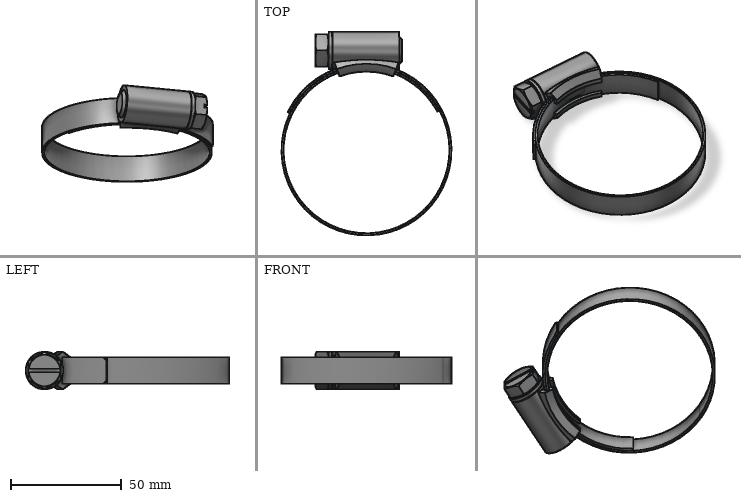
import cadquery as cq
import math

band_width = 12.0
band_thickness = 1.05
loop_outer_radius = 38.38
layer_gap = 0.05
layer_pitch = band_thickness + layer_gap
outer_tail_angle = 154.0
inner_tail_angle = 28.0
tail_corner = 1.3

screw_axis_y = 45.1
barrel_radius = 8.5
barrel_start_x = -15.2
barrel_end_x = 14.7
saddle_half_angle = 20.0
lip_inner_radius = 35.5
lip_half_opening = 3.5
saddle_peak_radius = 39.1
saddle_peak_half_width = barrel_radius
saddle_outer_radius = 42.2
saddle_outer_half_width = 6.6

flange_thickness = 1.65
flange_clearance = 0.25
head_length = 6.0
head_corner_radius = barrel_radius
head_face_radius = 7.1
head_chamfer_length = 0.6
slot_width = 1.45
slot_depth = 1.5
shank_radius = 6.3
tip_length = 1.4
tip_radius = shank_radius - tip_length

flange_end_x = barrel_start_x - flange_clearance
flange_start_x = flange_end_x - flange_thickness
head_start_x = flange_start_x - head_length

single_start_angle = outer_tail_angle
single_end_angle = single_start_angle + 180
layered_start_angle = single_end_angle - 360
single_inner_radius = loop_outer_radius - band_thickness
inner_layer_radius = single_inner_radius - layer_pitch / 2
outer_layer_radius = single_inner_radius + layer_pitch / 2


def polar(radius, angle, centre=(0.0, 0.0)):
    a = math.radians(angle)
    return (centre[0] + radius * math.cos(a), centre[1] + radius * math.sin(a))


single_centre = (0.0, 0.0)
layered_centre = polar(layer_pitch / 2, single_start_angle)


def arc_strip(inner_radius, start_angle, end_angle, centre):
    """Curved strip of band between two angles, counter-clockwise."""
    outer_radius = inner_radius + band_thickness
    middle_angle = (start_angle + end_angle) / 2
    return (
        cq.Workplane("XY")
        .workplane(offset=-band_width / 2)
        .moveTo(*polar(inner_radius, start_angle, centre))
        .threePointArc(
            polar(inner_radius, middle_angle, centre),
            polar(inner_radius, end_angle, centre),
        )
        .lineTo(*polar(outer_radius, end_angle, centre))
        .threePointArc(
            polar(outer_radius, middle_angle, centre),
            polar(outer_radius, start_angle, centre),
        )
        .close()
        .extrude(band_width)
    )


def corner_cutter():
    """Two prisms that cut the corners off the end of the outside layer."""
    end_point = polar(outer_layer_radius, outer_tail_angle, layered_centre)
    radial = polar(1.0, outer_tail_angle)
    backward = polar(1.0, outer_tail_angle - 90)
    end_plane = cq.Plane(
        origin=(end_point[0], end_point[1], 0),
        xDir=(backward[0], backward[1], 0),
        normal=(radial[0], radial[1], 0),
    )
    edge = band_width / 2
    cutter = cq.Workplane(end_plane)
    for side in (-1, 1):
        cutter = cutter.polyline(
            [
                (-tail_corner, side * (edge - 2 * tail_corner)),
                (tail_corner, side * edge),
                (-tail_corner, side * (edge + 2 * tail_corner)),
            ]
        ).close()
    return cutter.extrude(band_thickness * 2)


def make_band():
    single_half = arc_strip(
        single_inner_radius, single_start_angle, single_end_angle, single_centre
    )
    outer_layer = arc_strip(
        outer_layer_radius, layered_start_angle, outer_tail_angle, layered_centre
    )
    outer_layer = outer_layer.cut(corner_cutter())
    inner_layer = arc_strip(
        inner_layer_radius, inner_tail_angle, single_start_angle, layered_centre
    )
    return single_half.union(outer_layer).union(inner_layer)


def axial_cylinder(radius, start_x, end_x):
    return (
        cq.Workplane("YZ", origin=(start_x, screw_axis_y, 0))
        .circle(radius)
        .extrude(end_x - start_x)
    )


def make_saddle():
    """Section in the radius-height plane, swept around the loop axis."""
    floor_radius = inner_layer_radius + band_thickness / 2
    upper_half = [
        (floor_radius, lip_half_opening),
        (lip_inner_radius, lip_half_opening),
        (lip_inner_radius, band_width / 2),
        (saddle_peak_radius, saddle_peak_half_width),
        (saddle_outer_radius, saddle_outer_half_width),
    ]
    lower_half = [(r, -z) for r, z in reversed(upper_half)]
    return (
        cq.Workplane("XZ")
        .polyline(upper_half + lower_half)
        .close()
        .revolve(2 * saddle_half_angle, (0, 0, 0), (0, -1, 0))
        .rotate((0, 0, 0), (0, 0, 1), 90 + saddle_half_angle)
    )


def make_clamp():
    barrel = axial_cylinder(barrel_radius, barrel_start_x, barrel_end_x)
    bore = axial_cylinder(shank_radius, barrel_start_x, barrel_end_x)
    return make_band().union(make_saddle()).union(barrel).cut(bore)


def make_head():
    hexagon = (
        cq.Workplane("YZ", origin=(head_start_x, screw_axis_y, 0))
        .polyline([polar(head_corner_radius, 30 + 60 * i) for i in range(6)])
        .close()
        .extrude(head_length)
    )
    chamfer_profile = [
        (head_start_x, 0),
        (head_start_x, head_face_radius),
        (head_start_x + head_chamfer_length, head_corner_radius),
        (flange_start_x - head_chamfer_length, head_corner_radius),
        (flange_start_x, head_face_radius),
        (flange_start_x, 0),
    ]
    chamfered_round = (
        cq.Workplane("XY", origin=(0, screw_axis_y, 0))
        .polyline(chamfer_profile)
        .close()
        .revolve(360, (0, 0, 0), (1, 0, 0))
    )
    slot = cq.Workplane("XY").box(2 * slot_depth, 2 * head_corner_radius, slot_width)
    slot = slot.translate((head_start_x, screw_axis_y, 0))
    return hexagon.intersect(chamfered_round).cut(slot)


def make_screw():
    flange = axial_cylinder(barrel_radius, flange_start_x, flange_end_x)
    shank = axial_cylinder(shank_radius, flange_end_x, barrel_end_x + tip_length)
    shank = shank.faces(">X").chamfer(shank_radius - tip_radius)
    return make_head().union(flange).union(shank)


clamp = make_clamp()
screw = make_screw()
result = cq.Compound.makeCompound([clamp.val(), screw.val()])